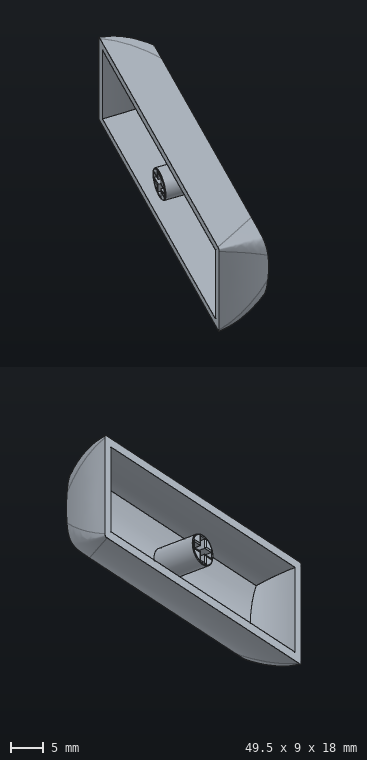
import cadquery as cq
import math

length = 49.5
depth = 9.0
height = 18.0
wall = 1.55

end_radius = 21.3
side_radius = 17.55
crown_radius = 23.5

rim_setback = 0.5
crown_setback_x = 5.45
crown_setback_z = 4.1
corner_fullness = 0.9
loft_steps = 5

stem_diameter = 5.2
stem_tip_y = 0.0
stem_tip_chamfer = 0.125
socket_length = 4.3
socket_width = 1.05
lead_in_depth = 0.1
lead_in_side = 0.3


def half_width_at(y, rim_half_width, radius):
    """Half width at depth y between two opposite arc faces."""
    return rim_half_width - radius + math.sqrt(radius**2 - y**2)


def plane_at(y):
    """Sketch plane at depth y, facing +Y, with its second axis along Z."""
    return cq.Plane(origin=(0, y, 0), xDir=(-1, 0, 0), normal=(0, 1, 0))


def crown_cylinder(radius):
    """Cylinder along X that is concentric with the crown."""
    axis_y = depth - crown_radius
    return cq.Workplane("YZ").center(axis_y, 0).circle(radius).extrude(length, both=True)


def corner_setback(y, rim_setback, crown_setback):
    """Length a rounded corner takes from a straight edge at depth y."""
    return rim_setback + (crown_setback - rim_setback) * y / depth


def rounded_section(y):
    """Wire of the outer shape at depth y: a rectangle with full, smooth corners."""
    half_x = half_width_at(y, length / 2, end_radius)
    half_z = half_width_at(y, height / 2, side_radius)
    setback_x = corner_setback(y, rim_setback, crown_setback_x)
    setback_z = corner_setback(y, rim_setback, crown_setback_z)

    def corner_curve(sign_x, sign_z):
        """Bezier corner from the end face to the side face."""
        handle_x = (1 - corner_fullness) * setback_x
        handle_z = (1 - corner_fullness) * setback_z
        points = [
            (half_x, half_z - setback_z),
            (half_x, half_z - handle_z),
            (half_x - handle_x, half_z),
            (half_x - setback_x, half_z),
        ]
        return [cq.Vector(sign_x * x, y, sign_z * z) for x, z in points]

    corners = [
        corner_curve(1, 1),
        corner_curve(-1, 1)[::-1],
        corner_curve(-1, -1),
        corner_curve(1, -1)[::-1],
    ]
    edges = []
    for corner, next_corner in zip(corners, corners[1:] + corners[:1]):
        edges.append(cq.Edge.makeBezier(corner))
        edges.append(cq.Edge.makeLine(corner[-1], next_corner[0]))
    return cq.Wire.assembleEdges(edges)


def outer_body():
    """Loft through rounded sections, trimmed by the crown."""
    levels = [depth * step / loft_steps for step in range(loft_steps + 1)]
    wires = [rounded_section(y) for y in levels]
    loft = cq.Workplane(cq.Solid.makeLoft(wires))
    return loft.intersect(crown_cylinder(crown_radius))


def arc_sided_prism(plane, rim_half_width, radius):
    """Long prism between two opposite arc faces; local y of the plane is the part's Y."""
    half_mid = half_width_at(depth / 2, rim_half_width, radius)
    half_top = half_width_at(depth, rim_half_width, radius)
    return (
        cq.Workplane(plane)
        .moveTo(-rim_half_width, 0)
        .lineTo(rim_half_width, 0)
        .threePointArc((half_mid, depth / 2), (half_top, depth))
        .lineTo(-half_top, depth)
        .threePointArc((-half_mid, depth / 2), (-rim_half_width, 0))
        .close()
        .extrude(length, both=True)
    )


def cavity():
    """Sharp-cornered hollow, one wall thickness inside the arc faces and the crown."""
    across_x = arc_sided_prism(cq.Plane.XY(), length / 2 - wall, end_radius - wall)
    zy_plane = cq.Plane(origin=(0, 0, 0), xDir=(0, 0, 1), normal=(-1, 0, 0))
    across_z = arc_sided_prism(zy_plane, height / 2 - wall, side_radius - wall)
    return across_x.intersect(across_z).intersect(crown_cylinder(crown_radius - wall))


def socket_arm(angle):
    """One bar of the cross, with its long sides bevelled at the stem tip."""
    bar = cq.Workplane(plane_at(stem_tip_y)).rect(socket_length, socket_width).extrude(depth)
    lead_in = (
        cq.Workplane(plane_at(stem_tip_y))
        .rect(socket_length, socket_width + 2 * lead_in_side)
        .workplane(offset=lead_in_depth)
        .rect(socket_length, socket_width)
        .loft(ruled=True)
    )
    return bar.union(lead_in).rotate((0, 0, 0), (0, 1, 0), angle)


def stem():
    """Round post whose cross socket runs its full length."""
    post = (
        cq.Workplane(plane_at(stem_tip_y))
        .circle(stem_diameter / 2)
        .extrude(depth - stem_tip_y)
        .faces("<Y")
        .chamfer(stem_tip_chamfer)
    )
    return post.cut(socket_arm(0)).cut(socket_arm(90))


hollow = cavity()
result = outer_body().cut(hollow).union(stem().intersect(hollow))